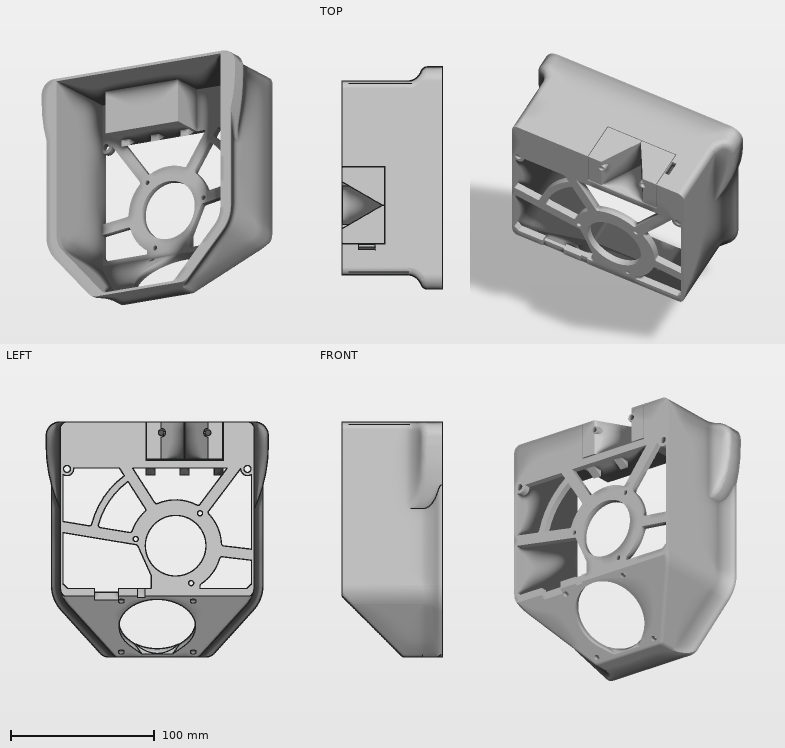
import cadquery as cq
import math

DEPTH = 70.0
HEIGHT = 163.71
HALF_WIDTH = 67.5
WALL = 1.9
PLATE = 5.0
TOP_EDGE_R = 5.0

SLOPE_TOP = 42.4
BOTTOM_HALF = 29.0
HIP_R = 20.0
BOTTOM_R = 4.0
SLOPE_EDGE_R = 3.0
SLANT_ANGLE = math.atan2(HALF_WIDTH - BOTTOM_HALF, SLOPE_TOP)

FLARE = 6.2
FLARE_START = 56.1
FLARE_BOTTOM_R = 8.4
FLARE_CONCAVE_R = 14.2
FLARE_TOP = 122.0

WING_HALF = 77.4
WING_CORNER_R = WING_HALF - HALF_WIDTH
WING_COVE_R = 10.0
WING_EDGE_R = 5.0
WING_START = 45.6
WING_ROOT_X = 30.0
WING_ROOT_Y = 62.0
WING_TAPER_TOP = 147.8
WING_TAPER_BOTTOM = 103.3

WINDOW_HALF = 65.5
WINDOW_BOTTOM = 47.8
WINDOW_TOP = 131.4
WINDOW_CORNER = 3.2
WINDOW_FILLET = 1.5
RING_Y = -12.8
RING_Z = 77.5
RING_R = 32.0
RING_BORE_D = 42.03
RING_FLAT = 24.1
RING_FLAT_ANGLE = -24.3
SPOKE_WIDTH = 7.8
SPOKE_ANGLES = (9.4, 57.4, 127.0, 186.8)
LEG_WIDTH = 34.0
ARC_RIB_INNER_R = 55.6
ARC_RIB_OUTER_R = 60.4
RING_SCREW_D = 3.4
RING_SCREW_R = 28.2
RING_SCREW_ANGLES = (9.5, 127.0, 247.5)
CORNER_SCREW_D = 4.7
CORNER_SCREW_Y = 62.8
CORNER_SCREW_Z = 130.9
CORNER_BOSS_R = 4.7

CABLE_NOTCH_Y = 35.3
CABLE_NOTCH_WIDTH = 16.4
CABLE_NOTCH_DEPTH = 2.7
CABLE_NOTCH_SILL = 45.2
KEY_NOTCH_Y = 11.1
KEY_NOTCH_WIDTH = 5.0
KEY_NOTCH_DEPTH = 1.1

FAN_BORE_D = 53.3
FAN_SCREW_PITCH = 50.0
FAN_SCREW_D = 4.0
FAN_RELIEF_X = 40.3

POCKET_Y = -19.0
POCKET_WIDTH = 54.0
POCKET_DEPTH = 30.0
POCKET_FLOOR = 137.2
POCKET_BOX_WALL = 2.0
POCKET_LIP = 0.5
SHELF_BOTTOM = WINDOW_TOP
RIB_WIDTH = 6.4
RIB_PITCH = 23.7
RIB_DROP = 4.8
RIB_LENGTH = 8.0
SLOT_X = 11.6
SLOT_LENGTH = 11.4
SLOT_WIDTH = 3.4
SLOT_GAP = 0.4
SLOT_DEPTH = 5.0

CLEARANCE = 0.5
SEAM = 0.5
VEE_DEPTH = 27.8
VEE_ANGLE = 30.0
WEDGE_SCREW_D = 4.0
WEDGE_BOSS_D = 6.0
WEDGE_SCREW_Z = 156.2
WEDGE_SCREW_DEPTH = 12.0


def front_plane(x=0.0):
    """Sketch plane with local axes Y and Z, facing +X."""
    return cq.Workplane("YZ", origin=(x, 0, 0))


def block(x0, x1, y0, y1, z0, z1):
    return cq.Workplane("XY").box(x1 - x0, y1 - y0, z1 - z0, centered=False).translate((x0, y0, z0))


def box_outline(offset, hip_r, bottom_r, bottom=0.0, length=DEPTH, x=0.0):
    """Extruded box outline, moved outwards by `offset` at the sides and slants."""
    half = HALF_WIDTH + offset
    hip_z = SLOPE_TOP - offset * math.tan(SLANT_ANGLE / 2)
    low_half = half - (hip_z - bottom) * math.tan(SLANT_ANGLE)
    points = [(low_half, bottom), (half, hip_z), (half, HEIGHT)]
    mirrored = [(-y, z) for y, z in reversed(points)]
    solid = front_plane(x).polyline(points + mirrored).close().extrude(length)
    middle = (hip_z + bottom) / 2
    hips = cq.selectors.BoxSelector((-1, -999, middle), (999, 999, middle + HEIGHT / 3))
    solid = solid.edges("|X").edges(hips).fillet(hip_r)
    return solid.edges("|X").edges("<Z").fillet(bottom_r)


def wing():
    """Upper back wing on the +Y side: a coved side wall limited by a tapering outline."""
    flare = WING_HALF - HALF_WIDTH
    reach = math.sqrt(WING_COVE_R**2 - (WING_COVE_R - flare) ** 2)
    half_angle = math.acos((WING_COVE_R - flare) / WING_COVE_R) / 2
    cove_mid = (WING_START + WING_COVE_R * math.sin(half_angle),
                HALF_WIDTH + WING_COVE_R * (1 - math.cos(half_angle)))
    drop = WING_TAPER_TOP - WING_TAPER_BOTTOM
    taper_r = (drop**2 + flare**2) / (2 * flare)

    def taper_point(y):
        return (y, WING_TAPER_TOP - math.sqrt(taper_r**2 - (y - WING_HALF + taper_r) ** 2))

    root = taper_point(WING_ROOT_Y)
    coved = (
        cq.Workplane("XY", origin=(0, 0, root[1]))
        .moveTo(WING_ROOT_X, 0)
        .lineTo(WING_ROOT_X, HALF_WIDTH)
        .lineTo(WING_START, HALF_WIDTH)
        .threePointArc(cove_mid, (WING_START + reach, WING_HALF))
        .lineTo(DEPTH, WING_HALF)
        .lineTo(DEPTH, 0)
        .close()
        .extrude(HEIGHT - root[1])
    )
    corner = WING_CORNER_R * (1 - math.sqrt(0.5))
    outline = (
        front_plane()
        .moveTo(0, root[1])
        .lineTo(*root)
        .threePointArc(taper_point(HALF_WIDTH), (WING_HALF, WING_TAPER_TOP))
        .lineTo(WING_HALF, HEIGHT - WING_CORNER_R)
        .threePointArc((WING_HALF - corner, HEIGHT - corner), (WING_HALF - WING_CORNER_R, HEIGHT))
        .lineTo(0, HEIGHT)
        .close()
        .extrude(DEPTH)
    )
    sharp = coved.intersect(outline)
    top_edge = cq.selectors.NearestToPointSelector(
        ((WING_ROOT_X + WING_START) / 2, HALF_WIDTH, HEIGHT))
    rounded = sharp.edges(top_edge).fillet(WING_EDGE_R)
    flared_part = block(WING_START, DEPTH, WING_ROOT_Y, WING_HALF, WING_TAPER_BOTTOM, HEIGHT)
    return rounded.intersect(flared_part)


def flare():
    """Concave then convex flare swept down the +Y side and along the slant."""
    run = DEPTH - FLARE_START
    radius_sum = (run**2 + FLARE**2) / (2 * FLARE)
    convex_r = radius_sum - FLARE_CONCAVE_R
    turn = math.asin(run / radius_sum)
    join = (FLARE_START + FLARE_CONCAVE_R * math.sin(turn), FLARE_CONCAVE_R * (1 - math.cos(turn)))
    cove_mid = (FLARE_START + FLARE_CONCAVE_R * math.sin(turn / 2),
                FLARE_CONCAVE_R * (1 - math.cos(turn / 2)))
    edge_mid = (DEPTH - convex_r * math.sin(turn / 2), FLARE - convex_r * (1 - math.cos(turn / 2)))
    profile = (
        cq.Workplane("XY", origin=(0, HALF_WIDTH, FLARE_TOP))
        .moveTo(FLARE_START, -WALL)
        .lineTo(FLARE_START, 0)
        .threePointArc(cove_mid, join)
        .threePointArc(edge_mid, (DEPTH, FLARE))
        .lineTo(DEPTH, -WALL)
        .close()
    )
    tangent = HIP_R * math.tan(SLANT_ANGLE / 2)
    hip_start = (HALF_WIDTH, SLOPE_TOP + tangent)
    hip_mid = (HALF_WIDTH - HIP_R * (1 - math.cos(SLANT_ANGLE / 2)),
               hip_start[1] - HIP_R * math.sin(SLANT_ANGLE / 2))
    hip_end = (HALF_WIDTH - tangent * math.sin(SLANT_ANGLE), SLOPE_TOP - tangent * math.cos(SLANT_ANGLE))
    below = 2 * FLARE
    path = (
        front_plane()
        .moveTo(HALF_WIDTH, FLARE_TOP)
        .lineTo(*hip_start)
        .threePointArc(hip_mid, hip_end)
        .lineTo(BOTTOM_HALF - below * math.tan(SLANT_ANGLE), -below)
    )
    swept = profile.sweep(path)
    return swept.intersect(box_outline(FLARE, HIP_R + FLARE, FLARE_BOTTOM_R))


def sloped_box():
    """Plain box with its 45 degree fan wall."""
    box = box_outline(0, HIP_R, BOTTOM_R).edges("|X").edges(">Z").fillet(TOP_EDGE_R)
    below_slope = (
        cq.Workplane("XZ", origin=(0, WING_HALF, 0))
        .polyline([(0, SLOPE_TOP), (SLOPE_TOP, 0), (0, 0)])
        .close()
        .extrude(2 * WING_HALF)
    )
    sharp = box.cut(below_slope)
    bottom_edge = cq.selectors.NearestToPointSelector((SLOPE_TOP, 0, 0))
    return sharp.edges(bottom_edge).fillet(SLOPE_EDGE_R)


def outer_shell():
    shell = sloped_box()
    for side in (wing(), flare()):
        shell = shell.union(side).union(side.mirror("XZ"))
    return shell


def cavity():
    """Inside of the box: open at the back, sloped parallel to the fan wall."""
    inside = box_outline(-WALL, HIP_R - WALL, BOTTOM_R, WALL, DEPTH, PLATE)
    roof = block(0, DEPTH + PLATE, -WING_HALF, WING_HALF, HEIGHT - WALL, HEIGHT + PLATE)
    inner_slope = SLOPE_TOP + PLATE * math.sqrt(2)
    fan_wall = (
        cq.Workplane("XZ", origin=(0, WING_HALF, 0))
        .polyline([(0, inner_slope), (inner_slope, 0), (0, 0)])
        .close()
        .extrude(2 * WING_HALF)
    )
    return inside.cut(roof).cut(fan_wall)


def ring_plane():
    """Sketch plane centred on the ring of the front plate."""
    return cq.Workplane("YZ", origin=(0, RING_Y, RING_Z))


def turned(shape, angle):
    """Turn a shape about the ring axis."""
    return shape.rotate((0, RING_Y, RING_Z), (1, RING_Y, RING_Z), angle)


def spoke(angle):
    reach = 2 * WINDOW_HALF
    bar = ring_plane().center(reach / 2, 0).rect(reach, SPOKE_WIDTH).extrude(PLATE)
    return turned(bar, angle)


def arc_rib():
    """Arc between the first two spokes, concentric with the ring."""
    band = ring_plane().circle(ARC_RIB_OUTER_R).circle(ARC_RIB_INNER_R).extrude(PLATE)
    reach = 2 * ARC_RIB_OUTER_R
    first, second = (math.radians(a) for a in SPOKE_ANGLES[:2])
    sector = (
        ring_plane()
        .polyline([(0, 0), (reach * math.cos(first), reach * math.sin(first)),
                   (reach * math.cos(second), reach * math.sin(second))])
        .close()
        .extrude(PLATE)
    )
    return band.intersect(sector)


def plate_pattern():
    """All the material that crosses the window opening."""
    ring = ring_plane().circle(RING_R).extrude(PLATE)
    beyond_flat = (
        ring_plane()
        .center(RING_FLAT + RING_R / 2, -RING_R / 4)
        .rect(RING_R, 1.5 * RING_R)
        .extrude(PLATE)
    )
    pattern = ring.cut(turned(beyond_flat, RING_FLAT_ANGLE))
    for angle in SPOKE_ANGLES:
        pattern = pattern.union(spoke(angle))
    pattern = pattern.union(arc_rib())
    leg_half = LEG_WIDTH / 2
    leg = block(0, PLATE, RING_Y - leg_half, RING_Y + leg_half, 0, RING_Z)
    bosses = (
        front_plane()
        .pushPoints([(-CORNER_SCREW_Y, CORNER_SCREW_Z), (CORNER_SCREW_Y, CORNER_SCREW_Z)])
        .circle(CORNER_BOSS_R)
        .extrude(PLATE)
    )
    return pattern.union(leg).union(bosses)


def windows():
    height = WINDOW_TOP - WINDOW_BOTTOM
    opening = (
        front_plane()
        .center(0, WINDOW_BOTTOM + height / 2)
        .rect(2 * WINDOW_HALF, height)
        .extrude(PLATE)
        .edges("|X").edges("<Z")
        .chamfer(WINDOW_CORNER)
    )
    inner_corners = cq.selectors.BoxSelector(
        (0, 1 - WINDOW_HALF, WINDOW_BOTTOM + 1), (PLATE, WINDOW_HALF - 1, CORNER_SCREW_Z - 2 * CORNER_BOSS_R))
    return opening.cut(plate_pattern()).edges("|X").edges(inner_corners).fillet(WINDOW_FILLET)


def plate_holes():
    bore = ring_plane().circle(RING_BORE_D / 2).extrude(PLATE)
    ring_screws = [
        (RING_SCREW_R * math.cos(math.radians(a)), RING_SCREW_R * math.sin(math.radians(a)))
        for a in RING_SCREW_ANGLES
    ]
    screws = ring_plane().pushPoints(ring_screws).circle(RING_SCREW_D / 2).extrude(PLATE)
    corners = (
        front_plane()
        .pushPoints([(-CORNER_SCREW_Y, CORNER_SCREW_Z), (CORNER_SCREW_Y, CORNER_SCREW_Z)])
        .circle(CORNER_SCREW_D / 2)
        .extrude(PLATE)
    )
    return bore.union(screws).union(corners)


def sill_notches():
    cable_half = CABLE_NOTCH_WIDTH / 2
    key_half = KEY_NOTCH_WIDTH / 2
    cable_sides = (CABLE_NOTCH_Y - cable_half, CABLE_NOTCH_Y + cable_half)
    recess = block(0, CABLE_NOTCH_DEPTH, *cable_sides, 0, WINDOW_BOTTOM)
    through = block(0, PLATE, *cable_sides, CABLE_NOTCH_SILL, WINDOW_BOTTOM)
    key = block(0, KEY_NOTCH_DEPTH, KEY_NOTCH_Y - key_half, KEY_NOTCH_Y + key_half, 0, WINDOW_BOTTOM)
    return recess.union(through).union(key)


def fan_plane():
    """Plane on the outer face of the fan wall, normal pointing into the box; local axes Y and up-slope."""
    middle = SLOPE_TOP / 2
    return cq.Workplane(cq.Plane(origin=(middle, 0, middle), xDir=(0, 1, 0), normal=(1, 0, 1)))


def fan_opening():
    """Round bore with a teardrop relief at its low end, and four screw holes."""
    bore = fan_plane().circle(FAN_BORE_D / 2).extrude(2 * PLATE, both=True)
    tangent = FAN_BORE_D / 2 * math.sqrt(0.5)
    tip = 2 * tangent
    teardrop = (
        fan_plane()
        .polyline([(tangent, -tangent), (0, -tip), (-tangent, -tangent), (0, 0)])
        .close()
        .extrude(2 * PLATE, both=True)
    )
    teardrop = teardrop.intersect(block(0, FAN_RELIEF_X, -tip, tip, 0, HEIGHT))
    screws = (
        fan_plane()
        .rect(FAN_SCREW_PITCH, FAN_SCREW_PITCH, forConstruction=True)
        .vertices()
        .circle(FAN_SCREW_D / 2)
        .extrude(PLATE)
    )
    return bore.union(teardrop).union(screws)


def pocket_box():
    """Walls around the pocket inside the housing, with three ribs under its floor."""
    half = POCKET_WIDTH / 2 + POCKET_BOX_WALL
    back = POCKET_DEPTH + POCKET_BOX_WALL
    box = block(PLATE, back, POCKET_Y - half, POCKET_Y + half, SHELF_BOTTOM, HEIGHT - WALL)
    for step in (-1, 0, 1):
        rib = (
            cq.Workplane("XZ", origin=(0, POCKET_Y + step * RIB_PITCH + RIB_WIDTH / 2, 0))
            .polyline([(PLATE, SHELF_BOTTOM), (PLATE + RIB_LENGTH, SHELF_BOTTOM - RIB_DROP),
                       (PLATE + RIB_LENGTH, SHELF_BOTTOM)])
            .close()
            .extrude(RIB_WIDTH)
        )
        box = box.union(rib)
    return box


def pocket():
    half = POCKET_WIDTH / 2
    hollow = block(0, POCKET_DEPTH, POCKET_Y - half, POCKET_Y + half, POCKET_FLOOR, HEIGHT)
    slot_side = POCKET_Y - half - SLOT_GAP
    slot = block(SLOT_X, SLOT_X + SLOT_LENGTH, slot_side - SLOT_WIDTH, slot_side, HEIGHT - SLOT_DEPTH, HEIGHT)
    lip = (
        cq.Workplane("XZ", origin=(0, POCKET_Y + half, 0))
        .polyline([(0, POCKET_FLOOR), (POCKET_LIP, POCKET_FLOOR), (0, POCKET_FLOOR - POCKET_LIP)])
        .close()
        .extrude(POCKET_WIDTH)
    )
    return hollow.union(slot).union(lip)


def make_housing():
    housing = outer_shell().cut(cavity())
    housing = housing.union(pocket_box())
    for opening in (windows(), plate_holes(), sill_notches(), fan_opening(), pocket()):
        housing = housing.cut(opening)
    return housing


def make_wedge():
    """Wedge on the +Y side of the pocket, with a screw boss standing out of its sloping face."""
    seam_y = POCKET_Y + SEAM / 2
    outer_y = POCKET_Y + POCKET_WIDTH / 2 - CLEARANCE
    back = POCKET_DEPTH - CLEARANCE
    edge_y = seam_y + VEE_DEPTH * math.tan(math.radians(VEE_ANGLE))
    bottom = POCKET_FLOOR + CLEARANCE
    wedge = (
        cq.Workplane("XY", origin=(0, 0, bottom))
        .polyline([(0, edge_y), (VEE_DEPTH, seam_y), (back, seam_y), (back, outer_y), (0, outer_y)])
        .close()
        .extrude(HEIGHT - bottom)
    )
    screw_plane = cq.Workplane("YZ", origin=(0, edge_y, WEDGE_SCREW_Z))
    boss = screw_plane.circle(WEDGE_BOSS_D / 2).extrude(WEDGE_SCREW_DEPTH)
    hole = screw_plane.circle(WEDGE_SCREW_D / 2).extrude(WEDGE_SCREW_DEPTH)
    return wedge.union(boss).cut(hole)


housing = make_housing()
wedge = make_wedge()
opposite_wedge = wedge.mirror("XZ", (0, POCKET_Y, 0))

result = cq.Compound.makeCompound([housing.val(), wedge.val(), opposite_wedge.val()])